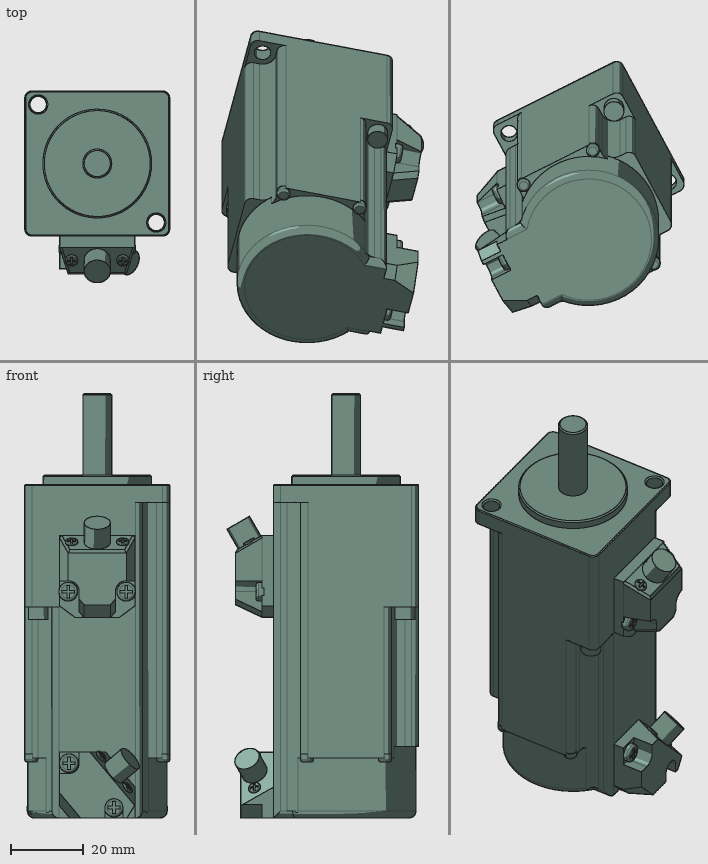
import cadquery as cq
import math

BODY_WIDTH = 40.0
HALF = BODY_WIDTH / 2
CORNER_RADIUS = 2.0
FLANGE_FACE_Z = 92.0
FLANGE_THICKNESS = 5.0
FLANGE_EDGE_CHAMFER = 0.3
PILOT_DIAMETER = 30.0
PILOT_HEIGHT = 2.5
SHAFT_DIAMETER = 8.0
SHAFT_LENGTH = 25.0
TURNED_CHAMFER = 0.4

BOLT_CIRCLE = 46.0
BOLT_OFFSET = BOLT_CIRCLE / 2 * math.sqrt(0.5)
MOUNT_HOLE_DIAMETER = 4.5
MOUNT_HOLE_CHAMFER = 0.4
GROOVE_WALL = 12.5
GROOVE_LIP_RADIUS = 2.0
MOUNT_GROOVE_TOP = FLANGE_FACE_Z - FLANGE_THICKNESS
BOLT_GROOVE_TOP = 58.2
BOLT_HEAD_DIAMETER = 5.5
BOLT_HEAD_HEIGHT = 3.5

CAP_TOP = 19.8
CAP_LUG_BOTTOM = 16.6
CAP_RADIUS = 19.3
CAP_BLOCK_HALF_WIDTH = 13.8
CAP_FILLET = 2.0
LUG_SCREW_X = 18.2
LUG_SCREW_Y = 10.75
LUG_SCREW_DIAMETER = 3.6
LUG_SCREW_HEIGHT = 1.1
LUG_SCREW_FILLET = 0.6

CONNECTOR_HALF_WIDTH = 10.4
CONNECTOR_BASE_Y = -23.1
GLAND_DIAMETER = 7.2
GLAND_LENGTH = 6.3
LID_SCREW_DIAMETER = 3.4
LID_SCREW_HEIGHT = 0.6
FIXING_SCREW_DIAMETER = 5.2
FIXING_SCREW_HEIGHT = 1.7
LID_SCREW_FILLET = 0.3
FIXING_SCREW_FILLET = 0.7
CROSS_WIDTH_RATIO = 0.15
CROSS_LENGTH_RATIO = 0.65
CROSS_DEPTH = 0.4
EMBED = 1.0
CLEAR = 60.0

UPPER_TOP = 77.9
UPPER_BOTTOM = 55.3
UPPER_FRONT_Y = -30.5
UPPER_FRONT_HALF_WIDTH = 8.0
UPPER_FRONT_BOTTOM = 58.8
UPPER_SHOULDER_Z = 58.5
UPPER_FOOT_HALF_WIDTH = 6.1
UPPER_SLOPE = 30.0
UPPER_GLAND_Y = -26.58
UPPER_GLAND_Z = 75.95
UPPER_LID_SCREW_OFFSET = 7.05
UPPER_LID_CHAMFER = 0.6
UPPER_SCREW_X = 8.0
UPPER_SCREW_Z = 62.4
UPPER_POCKET_RADIUS = 3.0
UPPER_NOSE_CHAMFER = 1.4

LOWER_TOP = 18.2
LOWER_FRONT_Y = -29.05
LOWER_EXIT_ANGLE = 40.0
LOWER_TILT = 20.0
LOWER_GLAND_REACH = 11.58
LOWER_GLAND_SIDE = 6.7
LOWER_GLAND_Y = -25.15
LOWER_LID_SCREW_OFFSET = 5.65
LOWER_TOE_REACH = -5.8
LOWER_TOE_FRONT_REACH = -3.5
LOWER_TIP_Z = 3.7
LOWER_TIP_X = 8.2
CORNER_SCREW_X = -7.8
CORNER_SCREW_Z = 15.1
CORNER_POCKET_RADIUS = 2.8
BOTTOM_SCREW_X = 4.6
BOTTOM_SCREW_Z = 2.9
BOTTOM_POCKET_RADIUS = 2.45


def box(x0, x1, y0, y1, z0, z1):
    """Rectangular block between the given limits."""
    return cq.Workplane("XY").box(x1 - x0, y1 - y0, z1 - z0, centered=False).translate((x0, y0, z0))


def outward_plane(x, y, z):
    """Plane whose normal points along -Y."""
    return cq.Plane(origin=(x, y, z), xDir=(1, 0, 0), normal=(0, -1, 0))


def front_prism(points, inner_y, outer_y):
    """Extrude an (x, z) outline from inner_y out to outer_y, toward -Y."""
    return cq.Workplane(outward_plane(0, inner_y, 0)).polyline(points).close().extrude(inner_y - outer_y)


def corner_groove(x_sign, y_sign, z0, z1):
    """Cutter for one rounded groove along a vertical corner of the body."""
    diagonal = math.sqrt(0.5)
    lip = GROOVE_LIP_RADIUS
    lip_start = GROOVE_WALL - lip
    lip_centre = HALF - lip
    lip_mid_far = lip_centre + lip * diagonal
    lip_mid_near = lip_start + lip * diagonal
    bottom_mid = BOLT_OFFSET - (BOLT_OFFSET - GROOVE_WALL) * diagonal
    outside = HALF + EMBED

    def at(x, y):
        return (x_sign * x, y_sign * y)

    return (
        cq.Workplane("XY", origin=(0, 0, z0))
        .moveTo(*at(HALF, lip_start))
        .threePointArc(at(lip_mid_far, lip_mid_near), at(lip_centre, GROOVE_WALL))
        .lineTo(*at(BOLT_OFFSET, GROOVE_WALL))
        .threePointArc(at(bottom_mid, bottom_mid), at(GROOVE_WALL, BOLT_OFFSET))
        .lineTo(*at(GROOVE_WALL, lip_centre))
        .threePointArc(at(lip_mid_near, lip_mid_far), at(lip_start, HALF))
        .lineTo(*at(lip_start, outside))
        .lineTo(*at(outside, outside))
        .lineTo(*at(outside, lip_start))
        .close()
        .extrude(z1 - z0)
    )


def cut_grooves(solid, bottom, y_signs=(-1, 1)):
    """Cut the corner grooves on the chosen Y sides, starting at height bottom."""
    for x_sign in (-1, 1):
        for y_sign in y_signs:
            groove_top = BOLT_GROOVE_TOP if x_sign == y_sign else MOUNT_GROOVE_TOP
            solid = solid.cut(corner_groove(x_sign, y_sign, bottom, groove_top))
    return solid


def make_body():
    """Square motor body with front flange, pilot and shaft."""
    height = FLANGE_FACE_Z - CAP_TOP
    block = (
        cq.Workplane("XY", origin=(0, 0, CAP_TOP))
        .rect(BODY_WIDTH, BODY_WIDTH)
        .extrude(height)
        .edges("|Z")
        .fillet(CORNER_RADIUS)
        .faces(">Z")
        .edges()
        .chamfer(FLANGE_EDGE_CHAMFER)
    )
    block = cut_grooves(block, CAP_TOP)
    mount_points = [(-BOLT_OFFSET, BOLT_OFFSET), (BOLT_OFFSET, -BOLT_OFFSET)]
    holes = (
        cq.Workplane("XY", origin=(0, 0, MOUNT_GROOVE_TOP))
        .pushPoints(mount_points)
        .circle(MOUNT_HOLE_DIAMETER / 2)
        .extrude(FLANGE_THICKNESS)
    )
    block = block.cut(holes)
    for x, y in mount_points:
        countersink = cq.Workplane(
            cq.Solid.makeCone(
                MOUNT_HOLE_DIAMETER / 2,
                MOUNT_HOLE_DIAMETER / 2 + MOUNT_HOLE_CHAMFER,
                MOUNT_HOLE_CHAMFER,
                pnt=cq.Vector(x, y, FLANGE_FACE_Z - MOUNT_HOLE_CHAMFER),
            )
        )
        block = block.cut(countersink)
    for diameter, length in ((PILOT_DIAMETER, PILOT_HEIGHT), (SHAFT_DIAMETER, SHAFT_LENGTH)):
        turned = (
            cq.Workplane("XY", origin=(0, 0, FLANGE_FACE_Z - EMBED))
            .circle(diameter / 2)
            .extrude(length + EMBED)
            .faces(">Z")
            .chamfer(TURNED_CHAMFER)
        )
        block = block.union(turned)
    for sign in (-1, 1):
        centre = sign * BOLT_OFFSET
        head = (
            cq.Workplane("XY", origin=(centre, centre, BOLT_GROOVE_TOP - BOLT_HEAD_HEIGHT))
            .circle(BOLT_HEAD_DIAMETER / 2)
            .extrude(BOLT_HEAD_HEIGHT + EMBED)
        )
        block = block.union(head)
    return block


def make_cap():
    """Round rear cap with side lugs, lug screws and the flat connector pad."""
    width = CAP_BLOCK_HALF_WIDTH
    drum = (
        cq.Workplane("XY")
        .circle(CAP_RADIUS)
        .extrude(CAP_TOP)
        .faces("<Z")
        .edges()
        .fillet(CAP_FILLET)
    )
    pad = (
        box(-GROOVE_WALL, GROOVE_WALL, -HALF, 0, 0, CAP_TOP)
        .faces("<Z")
        .edges("|Y")
        .fillet(CAP_FILLET)
    )
    pad_shoulders = box(-width, width, -HALF, 0, CAP_FILLET, CAP_TOP)
    cap = cut_grooves(drum.union(pad).union(pad_shoulders), 0, y_signs=(-1,))
    lugs = cut_grooves(box(-HALF, HALF, -width, width, CAP_LUG_BOTTOM, CAP_TOP), CAP_LUG_BOTTOM)
    cap = cap.union(lugs)
    for x in (-LUG_SCREW_X, LUG_SCREW_X):
        for y in (-LUG_SCREW_Y, LUG_SCREW_Y):
            screw = (
                cq.Workplane("XY", origin=(x, y, CAP_LUG_BOTTOM - LUG_SCREW_HEIGHT))
                .circle(LUG_SCREW_DIAMETER / 2)
                .extrude(LUG_SCREW_HEIGHT + EMBED)
                .faces("<Z")
                .edges()
                .fillet(LUG_SCREW_FILLET)
            )
            cap = cap.union(screw)
    return cap


def cross_screw(plane, diameter, height, edge_fillet):
    """Cross-recessed screw head standing on the given plane."""
    head = (
        cq.Workplane(plane)
        .workplane(offset=-EMBED / 2)
        .circle(diameter / 2)
        .extrude(height + EMBED / 2)
        .faces(cq.selectors.DirectionMinMaxSelector(plane.zDir, True))
        .edges()
        .fillet(edge_fillet)
    )
    arm = diameter * CROSS_LENGTH_RATIO
    thickness = diameter * CROSS_WIDTH_RATIO
    floor = cq.Workplane(plane).workplane(offset=height - CROSS_DEPTH)
    cross = floor.rect(arm, thickness).extrude(CROSS_DEPTH)
    cross = cross.union(floor.rect(thickness, arm).extrude(CROSS_DEPTH))
    return head.cut(cross)


def trim_beyond(solid, plane):
    """Remove everything on the outer side of a plane."""
    return solid.cut(cq.Workplane(plane).rect(CLEAR, CLEAR).extrude(CLEAR))


def add_gland(solid, plane, screw_offset):
    """Add the cable gland at the plane origin and a lid screw at each side of it."""
    gland = (
        cq.Workplane(plane)
        .workplane(offset=-EMBED)
        .circle(GLAND_DIAMETER / 2)
        .extrude(GLAND_LENGTH + EMBED)
    )
    solid = solid.union(gland)
    for sign in (-1, 1):
        seat = cq.Plane(
            origin=plane.toWorldCoords((sign * screw_offset, 0, 0)),
            xDir=plane.xDir,
            normal=plane.zDir,
        )
        solid = solid.union(cross_screw(seat, LID_SCREW_DIAMETER, LID_SCREW_HEIGHT, LID_SCREW_FILLET))
    return solid


def add_fixing_screw(solid, x, z):
    """Add a screw that holds the connector base plate to the motor."""
    seat = outward_plane(x, CONNECTOR_BASE_Y, z)
    screw = cross_screw(seat, FIXING_SCREW_DIAMETER, FIXING_SCREW_HEIGHT, FIXING_SCREW_FILLET)
    return solid.union(screw)


def pocket_bore(x, z, radius):
    """Round part of a screw pocket, open toward -Y."""
    return cq.Workplane(outward_plane(x, CONNECTOR_BASE_Y, z)).circle(radius).extrude(CLEAR)


def make_upper_connector():
    """Tapered housing with a sloping lid and two side screw pockets."""
    half = CONNECTOR_HALF_WIDTH
    foot = UPPER_FOOT_HALF_WIDTH
    base_outline = [
        (-half, UPPER_TOP),
        (half, UPPER_TOP),
        (half, UPPER_SHOULDER_Z),
        (foot, UPPER_BOTTOM),
        (-foot, UPPER_BOTTOM),
        (-half, UPPER_SHOULDER_Z),
    ]
    base = front_prism(base_outline, -HALF + EMBED, CONNECTOR_BASE_Y)

    front = UPPER_FRONT_HALF_WIDTH
    plan = [
        (-half, CONNECTOR_BASE_Y),
        (half, CONNECTOR_BASE_Y),
        (front, UPPER_FRONT_Y),
        (-front, UPPER_FRONT_Y),
    ]
    housing = (
        cq.Workplane("XY", origin=(0, 0, UPPER_BOTTOM))
        .polyline(plan)
        .close()
        .extrude(UPPER_TOP - UPPER_BOTTOM)
    )
    slope = math.radians(UPPER_SLOPE)
    lid_plane = cq.Plane(
        origin=(0, UPPER_GLAND_Y, UPPER_GLAND_Z),
        xDir=(1, 0, 0),
        normal=(0, -math.sin(slope), math.cos(slope)),
    )
    housing = trim_beyond(housing, lid_plane)
    lid_face = cq.selectors.DirectionMinMaxSelector(lid_plane.zDir, True)
    housing = housing.faces(lid_face).edges("not >Y").chamfer(UPPER_LID_CHAMFER)

    for sign in (-1, 1):
        screw_x = sign * UPPER_SCREW_X
        housing = housing.cut(pocket_bore(screw_x, UPPER_SCREW_Z, UPPER_POCKET_RADIUS))
        inner_x = sign * (UPPER_SCREW_X - UPPER_POCKET_RADIUS)
        outer_x = sign * CLEAR
        pocket = [
            (screw_x, UPPER_SCREW_Z + UPPER_POCKET_RADIUS),
            (outer_x, UPPER_SCREW_Z + UPPER_POCKET_RADIUS),
            (outer_x, 0),
            (inner_x, 0),
            (inner_x, UPPER_SCREW_Z),
            (screw_x, UPPER_SCREW_Z),
        ]
        housing = housing.cut(front_prism(pocket, CONNECTOR_BASE_Y, -CLEAR))

    nose_cut = (
        cq.Workplane("YZ", origin=(-CLEAR / 2, 0, 0))
        .polyline(
            [
                (CONNECTOR_BASE_Y, UPPER_BOTTOM),
                (UPPER_FRONT_Y, UPPER_FRONT_BOTTOM),
                (UPPER_FRONT_Y, UPPER_BOTTOM),
            ]
        )
        .close()
        .extrude(CLEAR)
    )
    housing = housing.cut(nose_cut)
    nose_half = UPPER_SCREW_X - UPPER_POCKET_RADIUS
    nose_sides = cq.selectors.BoxSelector(
        (-nose_half - EMBED, UPPER_FRONT_Y, UPPER_BOTTOM - EMBED),
        (nose_half + EMBED, CONNECTOR_BASE_Y, UPPER_SHOULDER_Z),
    )
    housing = housing.edges(nose_sides).edges("not |X").edges("not |Z").chamfer(UPPER_NOSE_CHAMFER)

    connector = base.union(housing)
    for sign in (-1, 1):
        connector = add_fixing_screw(connector, sign * UPPER_SCREW_X, UPPER_SCREW_Z)
    return add_gland(connector, lid_plane, UPPER_LID_SCREW_OFFSET)


def make_lower_connector():
    """Square housing with its cable corner cut by a leaning lid face."""
    half = CONNECTOR_HALF_WIDTH
    block = box(-half, half, LOWER_FRONT_Y, -HALF + EMBED, 0, LOWER_TOP)

    exit_x = math.cos(math.radians(LOWER_EXIT_ANGLE))
    exit_z = math.sin(math.radians(LOWER_EXIT_ANGLE))
    along_lid = (-exit_z, 0, exit_x)
    tilt = math.radians(LOWER_TILT)
    lid_plane = cq.Plane(
        origin=(
            LOWER_GLAND_REACH * exit_x - LOWER_GLAND_SIDE * exit_z,
            LOWER_GLAND_Y,
            LOWER_GLAND_REACH * exit_z + LOWER_GLAND_SIDE * exit_x,
        ),
        xDir=along_lid,
        normal=(exit_x * math.cos(tilt), -math.sin(tilt), exit_z * math.cos(tilt)),
    )
    block = trim_beyond(block, lid_plane)

    toe_point = (LOWER_TOE_REACH * exit_x, CONNECTOR_BASE_Y, LOWER_TOE_REACH * exit_z)
    lean = math.atan2(LOWER_TOE_FRONT_REACH - LOWER_TOE_REACH, CONNECTOR_BASE_Y - LOWER_FRONT_Y)
    for angle in (0, lean):
        bevel_normal = (-exit_x * math.cos(angle), -math.sin(angle), -exit_z * math.cos(angle))
        block = trim_beyond(block, cq.Plane(origin=toe_point, xDir=along_lid, normal=bevel_normal))

    tip = [(half, LOWER_TIP_Z), (half, 0), (LOWER_TIP_X, 0)]
    block = block.cut(front_prism(tip, CONNECTOR_BASE_Y, LOWER_FRONT_Y))

    block = block.cut(pocket_bore(CORNER_SCREW_X, CORNER_SCREW_Z, CORNER_POCKET_RADIUS))
    corner_right = CORNER_SCREW_X + CORNER_POCKET_RADIUS
    corner_bottom = CORNER_SCREW_Z - CORNER_POCKET_RADIUS
    block = block.cut(box(-half, CORNER_SCREW_X, LOWER_FRONT_Y, CONNECTOR_BASE_Y, corner_bottom, LOWER_TOP))
    block = block.cut(box(-half, corner_right, LOWER_FRONT_Y, CONNECTOR_BASE_Y, CORNER_SCREW_Z, LOWER_TOP))

    block = block.cut(pocket_bore(BOTTOM_SCREW_X, BOTTOM_SCREW_Z, BOTTOM_POCKET_RADIUS))
    bottom_left = BOTTOM_SCREW_X - BOTTOM_POCKET_RADIUS
    bottom_right = BOTTOM_SCREW_X + BOTTOM_POCKET_RADIUS
    block = block.cut(box(bottom_left, bottom_right, LOWER_FRONT_Y, CONNECTOR_BASE_Y, 0, BOTTOM_SCREW_Z))

    for x, z in ((CORNER_SCREW_X, CORNER_SCREW_Z), (BOTTOM_SCREW_X, BOTTOM_SCREW_Z)):
        block = add_fixing_screw(block, x, z)
    return add_gland(block, lid_plane, LOWER_LID_SCREW_OFFSET)


result = make_body().union(make_cap()).union(make_upper_connector()).union(make_lower_connector())